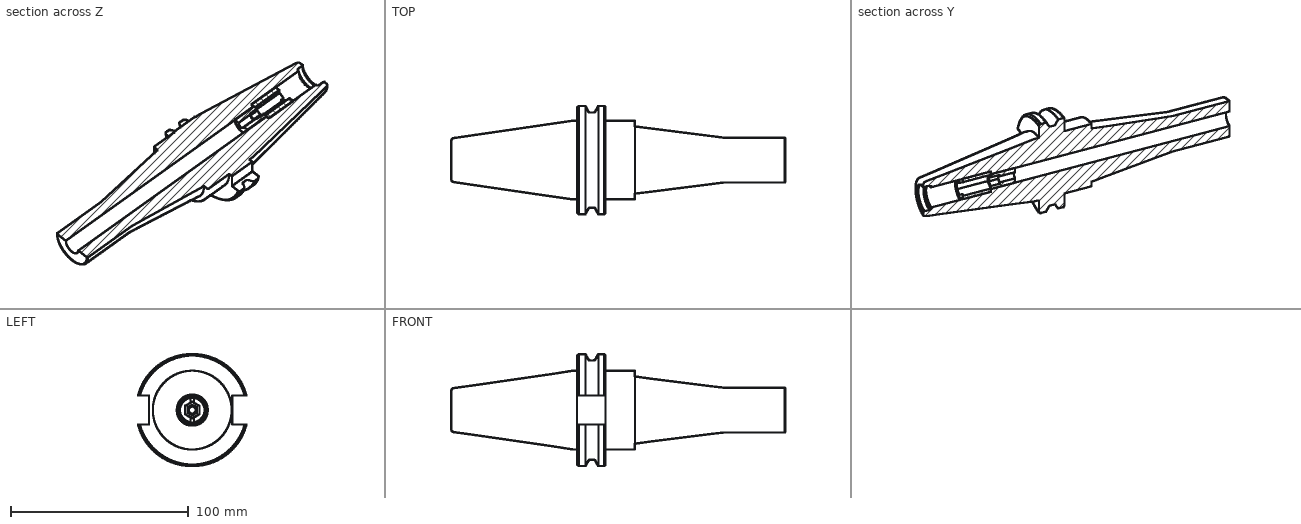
import cadquery as cq
import math

total_length = 188.2
taper_length = 68.3
flange_start = 71.0
flange_width = 16.0
hub_end = 103.5
neck_end = 153.5

gauge_diameter = 44.5
taper_ratio = 7 / 24
flange_diameter = 63.3
neck_diameter = 38.0
nose_diameter = 25.5

small_end_fillet = 1.9
front_rim_chamfer = 1.1
rear_rim_chamfer = 0.8
rim_chamfer_height = 1.0
hub_fillet = 0.5
nose_chamfer = 0.5

groove_center = 79.3
groove_width = 7.3
groove_floor_diameter = 56.1
groove_side_angle = 30
groove_fillet = 0.8

drive_slot_width = 16.2
front_slot_floor = 22.5
back_slot_floor = 24.5

pilot_diameter = 16.8
pilot_mouth_diameter = 17.5
pilot_mouth_depth = 0.8
pilot_depth = 3.8
ledge_diameter = 15.8
ledge_cone_length = 1.1
thread_diameter = 14.0
tool_bore_diameter = 10.0

plug_start = 22.5
plug_length = 18.8
plug_hex = 8.1
plug_slot_width = 1.7
plug_slot_depth = 1.9

screw_length = 15
screw_hex = 5.0
screw_hex_depth = 5.6
screw_hole_diameter = 4.0

plug_end = plug_start + plug_length


def turned(points):
    """Solid of revolution about X from (x, radius) points."""
    return cq.Workplane("XY").polyline(points).close().revolve(360, (0, 0, 0), (1, 0, 0))


def cylinder(start, length, diameter):
    return cq.Workplane("YZ", origin=(start, 0, 0)).circle(diameter / 2).extrude(length)


def hexagon(start, length, across_flats):
    """Hexagonal prism along X with corners at +Z and -Z."""
    corner_diameter = across_flats / math.cos(math.radians(30))
    return (
        cq.Workplane("YZ", origin=(start, 0, 0))
        .transformed(rotate=(0, 0, 90))
        .polygon(6, corner_diameter)
        .extrude(length)
    )


def make_taper_and_hub():
    gauge_radius = gauge_diameter / 2
    small_radius = gauge_radius - taper_length * taper_ratio / 2
    body = turned([
        (0, 0),
        (0, small_radius),
        (taper_length, gauge_radius),
        (hub_end, gauge_radius),
        (hub_end, 0),
    ])
    body = body.faces("<X").edges().fillet(small_end_fillet)
    return body.faces(">X").edges().fillet(hub_fillet)


def make_neck_and_nose():
    nose_radius = nose_diameter / 2
    return turned([
        (hub_end, 0),
        (hub_end, neck_diameter / 2),
        (neck_end, nose_radius),
        (total_length - nose_chamfer, nose_radius),
        (total_length, nose_radius - nose_chamfer),
        (total_length, 0),
    ])


def make_groove():
    rim_radius = flange_diameter / 2
    floor_radius = groove_floor_diameter / 2
    half_width = groove_width / 2
    half_floor = half_width - (rim_radius - floor_radius) * math.tan(math.radians(groove_side_angle))
    ring = turned([
        (groove_center - half_width, rim_radius),
        (groove_center - half_floor, floor_radius),
        (groove_center + half_floor, floor_radius),
        (groove_center + half_width, rim_radius),
    ])
    floor_edges = cq.selectors.RadiusNthSelector(0)
    return ring.edges(floor_edges).fillet(groove_fillet)


def make_flange():
    rim_radius = flange_diameter / 2
    flange_end = flange_start + flange_width
    flange = turned([
        (flange_start, 0),
        (flange_start, rim_radius - rim_chamfer_height),
        (flange_start + front_rim_chamfer, rim_radius),
        (flange_end - rear_rim_chamfer, rim_radius),
        (flange_end, rim_radius - rim_chamfer_height),
        (flange_end, 0),
    ])
    flange = flange.cut(make_groove())
    slot_depth = flange_diameter / 2
    for side, floor in ((-1, front_slot_floor), (1, back_slot_floor)):
        slot = cq.Workplane("XY").box(flange_width, slot_depth, drive_slot_width).translate(
            (flange_start + flange_width / 2, side * (floor + slot_depth / 2), 0)
        )
        flange = flange.cut(slot)
    return flange


def make_bore():
    stepped = turned([
        (0, 0),
        (0, pilot_mouth_diameter / 2),
        (pilot_mouth_depth, pilot_diameter / 2),
        (pilot_depth, pilot_diameter / 2),
        (pilot_depth + ledge_cone_length, ledge_diameter / 2),
        (pilot_depth + ledge_cone_length, thread_diameter / 2),
        (plug_end, thread_diameter / 2),
        (plug_end, 0),
    ])
    return stepped.union(cylinder(plug_end, total_length - plug_end, tool_bore_diameter))


def make_housing():
    return make_taper_and_hub().union(make_neck_and_nose()).union(make_flange()).cut(make_bore())


def make_plug():
    plug = cylinder(plug_start, plug_length, thread_diameter)
    slot = cq.Workplane("XY").box(plug_slot_depth, plug_slot_width, thread_diameter).translate(
        (plug_start + plug_slot_depth / 2, 0, 0)
    )
    return plug.cut(hexagon(plug_start, plug_length, plug_hex)).cut(slot)


def make_adjusting_screw():
    screw = cylinder(plug_end, screw_length, tool_bore_diameter)
    screw = screw.cut(hexagon(plug_end, screw_hex_depth, screw_hex))
    return screw.cut(cylinder(plug_end, screw_length, screw_hole_diameter))


housing = make_housing()
plug = make_plug()
adjusting_screw = make_adjusting_screw()

result = cq.Compound.makeCompound([housing.val(), plug.val(), adjusting_screw.val()])